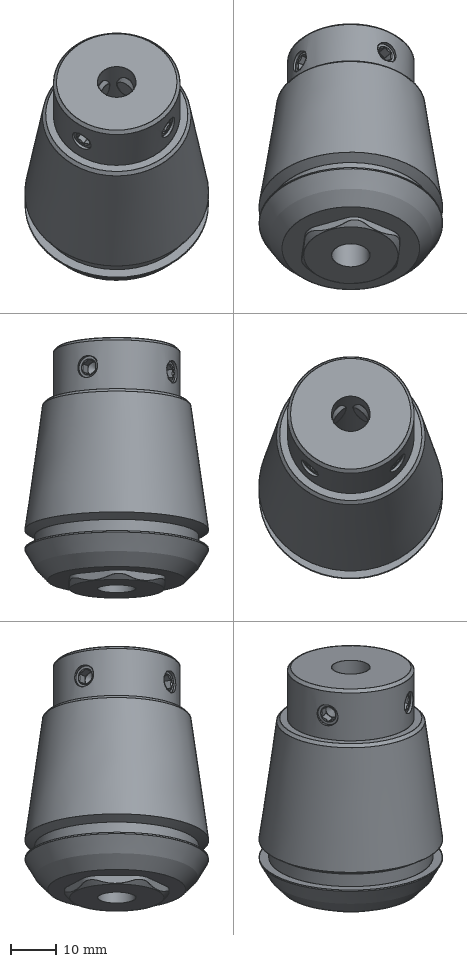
import cadquery as cq
import math

total_height = 54.0
nut_height = 1.95
lower_bevel_top = 4.8
upper_bevel_top = 8.7
lip_top = 9.0
neck_top = 12.0
skirt_bottom = 13.25
shoulder_height = 41.95

base_radius = 15.25
bevel_radius = 18.0
lip_radius = 40.55 / 2
neck_radius = 36.35 / 2
skirt_radius = 40.65 / 2
shoulder_radius = 16.4
collar_radius = 28.0 / 2
bore_radius = 8.5 / 2
edge_break = 0.7

hexagon_sides = 6
half_side_angle = 180 / hexagon_sides

nut_across_flats = 21.1
nut_corner_fillet = 4.05
nut_face_radius = 10.4

screw_count = 4
screw_radius = 2.95
screw_hole_radius = 4.9 / 2
screw_axis_height = 47.65
screw_face = 13.3
screw_tip = 3.3
screw_tip_chamfer = 0.85
socket_across_flats = 3.15
socket_depth = 2.5
socket_mouth_radius = 1.85
drill_point_half_angle = 60.0


def hexagon_corners(across_flats):
    """Diameter of the circle through the corners of a hexagon."""
    return across_flats / math.cos(math.radians(half_side_angle))


def make_body():
    """Turned body: bevelled base, neck groove, tapered skirt and collar."""
    profile = [
        (0, nut_height),
        (base_radius, nut_height),
        (bevel_radius, lower_bevel_top),
        (lip_radius, upper_bevel_top),
        (lip_radius, lip_top),
        (neck_radius, lip_top),
        (neck_radius, neck_top),
        (skirt_radius, skirt_bottom),
        (shoulder_radius, shoulder_height - edge_break),
        (shoulder_radius - edge_break, shoulder_height),
        (collar_radius, shoulder_height),
        (collar_radius, total_height - edge_break),
        (collar_radius - edge_break, total_height),
        (0, total_height),
    ]
    return cq.Workplane("XZ").polyline(profile).close().revolve(360, (0, 0), (0, 1))


def make_nut():
    """Hexagonal nut with rounded corners and a 45 degree turned lower edge."""
    hexagon = (
        cq.Workplane("XY")
        .polygon(hexagon_sides, hexagon_corners(nut_across_flats))
        .extrude(nut_height)
        .edges("|Z")
        .fillet(nut_corner_fillet)
    )
    cone = (
        cq.Workplane("XZ")
        .polyline([
            (0, 0),
            (nut_face_radius, 0),
            (nut_face_radius + nut_height, nut_height),
            (0, nut_height),
        ])
        .close()
        .revolve(360, (0, 0), (0, 1))
    )
    return hexagon.intersect(cone)


def make_screw():
    """Set screw along +X with a chamfered tip and a countersunk hexagon socket."""
    screw = (
        cq.Workplane("YZ", origin=(screw_tip, 0, 0))
        .circle(screw_radius)
        .extrude(screw_face - screw_tip)
        .faces("<X")
        .chamfer(screw_tip_chamfer)
    )
    socket = (
        cq.Workplane("YZ", origin=(screw_face - socket_depth, 0, 0))
        .polygon(hexagon_sides, hexagon_corners(socket_across_flats))
        .extrude(socket_depth)
    )
    socket = socket.rotate((0, 0, 0), (1, 0, 0), half_side_angle)
    drill_radius = socket_across_flats / 2
    drill_point = cq.Solid.makeCone(
        drill_radius,
        0,
        drill_radius / math.tan(math.radians(drill_point_half_angle)),
        cq.Vector(screw_face - socket_depth, 0, 0),
        cq.Vector(-1, 0, 0),
    )
    countersink = cq.Solid.makeCone(
        socket_mouth_radius,
        0,
        socket_mouth_radius,
        cq.Vector(screw_face, 0, 0),
        cq.Vector(-1, 0, 0),
    )
    return screw.cut(socket).cut(drill_point).cut(countersink)


def make_screw_hole():
    """Hole along +X from the part axis out through the collar wall."""
    return cq.Workplane("YZ").circle(screw_hole_radius).extrude(skirt_radius)


def place_in_collar(shape, index):
    """Lift a shape to the screw height and turn it to the numbered position."""
    raised = shape.translate((0, 0, screw_axis_height))
    return raised.rotate((0, 0, 0), (0, 0, 1), index * 360 / screw_count)


bore = cq.Workplane("XY").circle(bore_radius).extrude(total_height)
screw_hole = make_screw_hole()
screw = make_screw()

result = make_body().union(make_nut()).cut(bore)
for index in range(screw_count):
    result = result.cut(place_in_collar(screw_hole, index))
    result = result.union(place_in_collar(screw, index))